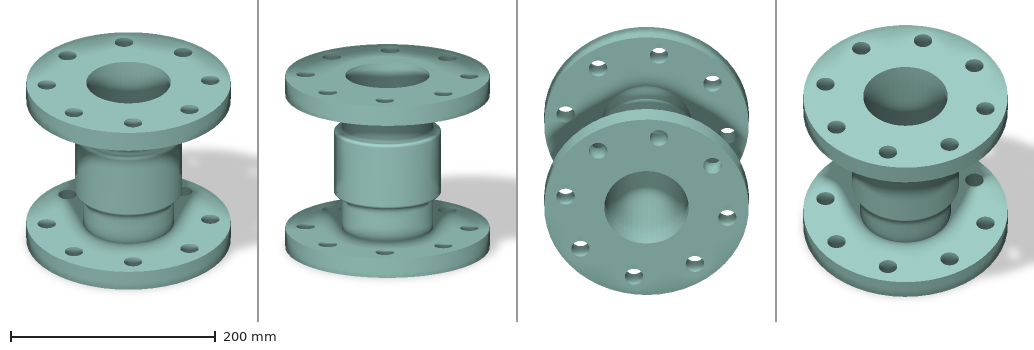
import cadquery as cq
import math

length = 176.0
flange_diameter = 200.0
flange_thickness = 20.0

neck_diameter = 88.9
bore_diameter = 82.5
collar_diameter = 105.0
collar_length = 66.0
collar_edge_radius = 3.0
collar_root_radius = 3.0

bolt_count = 8
bolt_circle_diameter = 160.0
bolt_hole_diameter = 18.0
bolt_start_angle = 180.0 / bolt_count

half_length = length / 2
half_collar = collar_length / 2
flange_inner_level = half_length - flange_thickness
flange_radius = flange_diameter / 2
neck_radius = neck_diameter / 2
bore_radius = bore_diameter / 2
collar_radius = collar_diameter / 2


def arc_middle(centre_radius, centre_level, radius, angle):
    """Point on a profile arc, at `angle` degrees from the radial direction."""
    direction = math.radians(angle)
    return (
        centre_radius + radius * math.cos(direction),
        centre_level + radius * math.sin(direction),
    )


def body():
    """Both flanges, neck, collar and bore as one revolved (radius, level) profile."""
    edge_radius = collar_radius - collar_edge_radius
    edge_level = half_collar - collar_edge_radius
    root_radius = neck_radius + collar_root_radius
    root_level = half_collar + collar_root_radius
    edge_middle = arc_middle(edge_radius, edge_level, collar_edge_radius, 45)
    root_middle = arc_middle(root_radius, root_level, collar_root_radius, 225)

    def below(point):
        """The same profile point mirrored to the lower half."""
        return (point[0], -point[1])

    return (
        cq.Workplane("XZ")
        .moveTo(bore_radius, -half_length)
        .lineTo(flange_radius, -half_length)
        .lineTo(flange_radius, -flange_inner_level)
        .lineTo(neck_radius, -flange_inner_level)
        .lineTo(neck_radius, -root_level)
        .threePointArc(below(root_middle), (root_radius, -half_collar))
        .lineTo(edge_radius, -half_collar)
        .threePointArc(below(edge_middle), (collar_radius, -edge_level))
        .lineTo(collar_radius, edge_level)
        .threePointArc(edge_middle, (edge_radius, half_collar))
        .lineTo(root_radius, half_collar)
        .threePointArc(root_middle, (neck_radius, root_level))
        .lineTo(neck_radius, flange_inner_level)
        .lineTo(flange_radius, flange_inner_level)
        .lineTo(flange_radius, half_length)
        .lineTo(bore_radius, half_length)
        .close()
        .revolve(360, (0, 0), (0, 1))
    )


def bolt_holes():
    """Cutters for the bolt holes, running through both flanges."""
    return (
        cq.Workplane("XY")
        .workplane(offset=-half_length)
        .polarArray(bolt_circle_diameter / 2, bolt_start_angle, 360, bolt_count)
        .circle(bolt_hole_diameter / 2)
        .extrude(length)
    )


result = body().cut(bolt_holes())